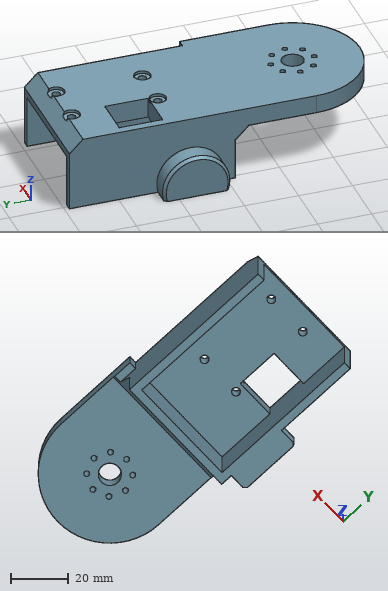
import cadquery as cq

length = 116.5
plate_width = 50.0
plate_radius = plate_width / 2
plate_thickness = 7.0
back_y = length - plate_radius
step_y = 33.0

height = 27.5
body_width = 47.1
block_front_y = 30.0
edge_chamfer = 5.0

roof_thickness = 7.7
wall = 3.0

boss_radius = 12.5
boss_length = 7.0
boss_y = 46.7
boss_z = 3.4
boss_chamfer = 1.0

pivot_diameter = 8.0
ring_radius = 8.0
ring_hole_diameter = 2.0
ring_hole_count = 8

mount_spacing_x = 16.1
mount_spacing_y = 31.9
mount_center_y = 68.7
mount_diameter = 3.0
counterbore_diameter = 6.0
counterbore_depth = 1.0

window_width = 15.0
window_length = 16.1
window_back_y = 72.0

left_x = -plate_radius
body_right_x = left_x + body_width
plate_bottom_z = height - plate_thickness
roof_bottom_z = height - roof_thickness


def make_plate():
    return (
        cq.Workplane("XY", origin=(0, 0, plate_bottom_z))
        .moveTo(left_x, step_y)
        .lineTo(left_x, 0)
        .threePointArc((0, -plate_radius), (plate_radius, 0))
        .lineTo(plate_radius, step_y)
        .close()
        .extrude(plate_thickness)
    )


def make_body():
    """Side profile with a chamfered rear top edge and a sloped inner corner."""
    profile = [
        (back_y, 0),
        (back_y, height - edge_chamfer),
        (back_y - edge_chamfer, height),
        (0, height),
        (0, plate_bottom_z),
        (block_front_y - edge_chamfer, plate_bottom_z),
        (block_front_y, plate_bottom_z - edge_chamfer),
        (block_front_y, 0),
    ]
    return (
        cq.Workplane("YZ", origin=(left_x, 0, 0))
        .polyline(profile)
        .close()
        .extrude(body_width)
    )


def make_side_lip():
    """Strip that thickens the plate to the roof thickness beside the block."""
    slope_start_y = block_front_y - edge_chamfer
    slope_length = roof_thickness - plate_thickness
    profile = [
        (slope_start_y, plate_bottom_z),
        (slope_start_y + slope_length, roof_bottom_z),
        (step_y, roof_bottom_z),
        (step_y, plate_bottom_z),
    ]
    return (
        cq.Workplane("YZ", origin=(body_right_x, 0, 0))
        .polyline(profile)
        .close()
        .extrude(plate_radius - body_right_x)
    )


def make_boss():
    boss = (
        cq.Workplane("YZ", origin=(left_x, boss_y, boss_z))
        .circle(boss_radius)
        .extrude(-boss_length)
        .faces("<X")
        .chamfer(boss_chamfer)
    )
    above_base = cq.Workplane("XY", origin=(left_x, boss_y, 0)).box(
        2 * boss_length, 2 * boss_radius, height, centered=(True, True, False)
    )
    return boss.intersect(above_base)


def cut_pivot_holes(part):
    top = cq.Workplane("XY", origin=(0, 0, height))
    pivot = top.circle(pivot_diameter / 2).extrude(-plate_thickness)
    ring = (
        top.polarArray(ring_radius, 0, 360, ring_hole_count)
        .circle(ring_hole_diameter / 2)
        .extrude(-plate_thickness)
    )
    return part.cut(pivot).cut(ring)


def cut_mounting_holes(part):
    top = cq.Workplane("XY", origin=(0, mount_center_y, height))
    pattern = top.rarray(mount_spacing_x, mount_spacing_y, 2, 2)
    holes = pattern.circle(mount_diameter / 2).extrude(-height)
    counterbores = pattern.circle(counterbore_diameter / 2).extrude(-counterbore_depth)
    return part.cut(holes).cut(counterbores)


def cut_cavity(part):
    cavity_front_y = block_front_y + wall
    cavity = cq.Workplane("XY", origin=(left_x + wall, cavity_front_y, 0)).box(
        body_width - 2 * wall, back_y - cavity_front_y, roof_bottom_z, centered=False
    )
    return part.cut(cavity)


def cut_window(part):
    window = cq.Workplane(
        "XY", origin=(left_x + wall, window_back_y - window_length, 0)
    ).box(window_width, window_length, height, centered=False)
    return part.cut(window)


result = make_plate().union(make_body()).union(make_side_lip()).union(make_boss())
result = cut_cavity(result)
result = cut_pivot_holes(result)
result = cut_mounting_holes(result)
result = cut_window(result)